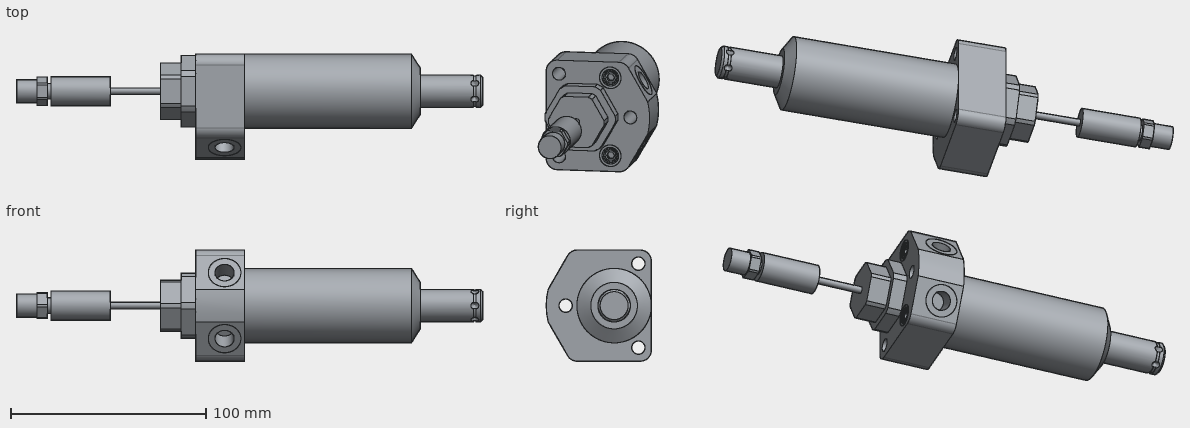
import cadquery as cq
import math


tip_end = 10.3
nut_end = 15.7
neck_end = 17.5
sleeve_end = 48.0
cap_start = 73.5
collar_start = 84.2
block_start = 91.5
block_end = 116.6
body_end = 206.5
total_length = 238.5

tip_diameter = 12.0
neck_diameter = 8.0
sleeve_diameter = 15.0
rod_diameter = 3.5
body_diameter = 38.2
tube_diameter = 16.7

nut_flats, nut_corner_diameter = 13.4, 14.8
cap_flats, cap_corner_diameter = 26.2, 29.0
collar_flats, collar_corner_diameter = 33.5, 36.7

body_taper_length = 4.5
body_face_diameter = 23.9

tube_chamfer = 1.2
detent_x = 234.5
groove_width = 1.5
groove_depth = 0.35
detent_count = 6
detent_diameter = 4.0
detent_depth = 2.1

block_height = 57.0
block_back_y = body_diameter / 2
block_front_radius = 34.8
slope_top_y = -22.2
slope_angle = 60.0
block_corner_radius = 5.7

mount_hole_diameter = 6.7
mount_circle_radius = 24.8
mount_angles = (60, 180, 300)

port_x = 106.5
port_z = 17.0
port_diameter = 9.8
port_depth = 11.2
port_spot_diameter = 16.7
port_spot_depth = 0.12

plug_y = -14.3
plug_z = 20.3
plug_steps = ((11.2, 0.2), (8.5, 0.5), (7.2, 0.7), (5.7, 1.0))
socket_flats = 3.5
socket_depth = 3.5


def cylinder(start, end, diameter):
    return cq.Workplane("YZ").workplane(offset=start).circle(diameter / 2).extrude(end - start)


def trimmed_hexagon(start, end, flats, corner_diameter):
    """Hexagon with flats facing +Z and -Z and corners trimmed to a cylinder."""
    corner_to_corner = flats / math.cos(math.radians(30))
    hexagon = cq.Workplane("YZ").workplane(offset=start).polygon(6, corner_to_corner).extrude(end - start)
    return hexagon.intersect(cylinder(start, end, corner_diameter))


def slope_y(z):
    """Y of the sloped face at height z on the upper half."""
    return slope_top_y - (block_height / 2 - z) / math.tan(math.radians(slope_angle))


def slope_foot():
    """Point where the sloped face meets the rounded front of the block."""
    slope = math.radians(slope_angle)
    normal_distance = -slope_y(0) * math.sin(slope)
    along = math.sqrt(block_front_radius**2 - normal_distance**2)
    y = -normal_distance * math.sin(slope) - along * math.cos(slope)
    z = normal_distance * math.cos(slope) - along * math.sin(slope)
    return y, z


def make_block():
    half_height = block_height / 2
    foot_y, foot_z = slope_foot()
    block = (
        cq.Workplane("YZ")
        .workplane(offset=block_start)
        .moveTo(block_back_y, half_height)
        .lineTo(slope_top_y, half_height)
        .lineTo(foot_y, foot_z)
        .threePointArc((-block_front_radius, 0), (foot_y, -foot_z))
        .lineTo(slope_top_y, -half_height)
        .lineTo(block_back_y, -half_height)
        .close()
        .extrude(block_end - block_start)
    )
    corners = block.edges("|X").edges("<Z or >Z")
    return corners.fillet(block_corner_radius)


def cut_mount_holes(part):
    for angle in mount_angles:
        y = mount_circle_radius * math.cos(math.radians(angle))
        z = mount_circle_radius * math.sin(math.radians(angle))
        part = part.cut(cylinder(block_start, block_end, mount_hole_diameter).translate((0, y, z)))
    return part


def cut_ports(part):
    slope = math.radians(slope_angle)
    for side in (1, -1):
        mouth = cq.Vector(port_x, slope_y(port_z), side * port_z)
        inward = cq.Vector(0, math.sin(slope), -side * math.cos(slope))
        part = part.cut(cq.Solid.makeCylinder(port_diameter / 2, port_depth, mouth, inward))
        part = part.cut(cq.Solid.makeCylinder(port_spot_diameter / 2, port_spot_depth, mouth, inward))
    return part


def cut_plugs(part):
    socket = (
        cq.Workplane("YZ")
        .workplane(offset=block_start)
        .polygon(6, socket_flats / math.cos(math.radians(30)))
        .extrude(socket_depth)
    )
    recess = socket
    for diameter, depth in plug_steps:
        recess = recess.union(cylinder(block_start, block_start + depth, diameter))
    for side in (1, -1):
        part = part.cut(recess.translate((0, plug_y, side * plug_z)))
    return part


def make_body():
    taper_start = body_end - body_taper_length
    taper = cq.Solid.makeCone(
        body_diameter / 2,
        body_face_diameter / 2,
        body_taper_length,
        cq.Vector(taper_start, 0, 0),
        cq.Vector(1, 0, 0),
    )
    return cylinder(block_end, taper_start, body_diameter).union(taper)


def make_tube():
    tube = cylinder(body_end, total_length, tube_diameter).faces(">X").chamfer(tube_chamfer)
    groove_start = detent_x - groove_width / 2
    groove_end = detent_x + groove_width / 2
    groove = cylinder(groove_start, groove_end, tube_diameter).cut(
        cylinder(groove_start, groove_end, tube_diameter - 2 * groove_depth)
    )
    tube = tube.cut(groove)
    for index in range(detent_count):
        angle = 2 * math.pi * index / detent_count
        outward = cq.Vector(0, math.cos(angle), math.sin(angle))
        mouth = cq.Vector(detent_x, 0, 0) + outward * (tube_diameter / 2)
        tube = tube.cut(cq.Solid.makeCone(detent_diameter / 2, 0, detent_depth, mouth, outward * -1))
    return tube


block = cut_plugs(cut_ports(cut_mount_holes(make_block())))

result = (
    cylinder(0, tip_end, tip_diameter)
    .union(trimmed_hexagon(tip_end, nut_end, nut_flats, nut_corner_diameter))
    .union(cylinder(nut_end, neck_end, neck_diameter))
    .union(cylinder(neck_end, sleeve_end, sleeve_diameter))
    .union(cylinder(sleeve_end, cap_start, rod_diameter))
    .union(trimmed_hexagon(cap_start, collar_start, cap_flats, cap_corner_diameter))
    .union(trimmed_hexagon(collar_start, block_start, collar_flats, collar_corner_diameter))
    .union(block)
    .union(make_body())
    .union(make_tube())
)